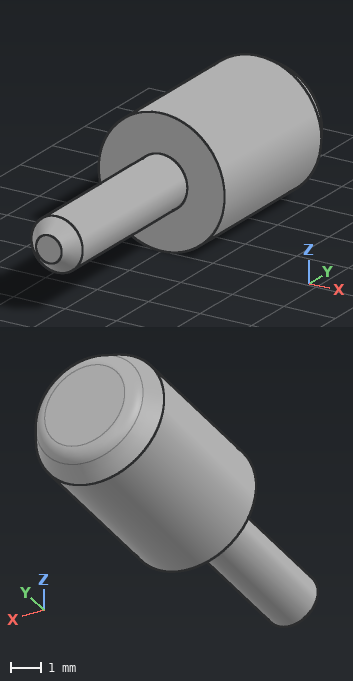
import cadquery as cq
import math

total_length = 14.0
head_length = 7.0
head_radius = 4.9 / 2
pin_radius = 2.0 / 2

pin_chamfer = 0.5
taper_length = 1.0
taper_angle = math.radians(30)
nose_radius = 0.6

tip_y = -total_length / 2
nose_y = total_length / 2
shoulder_y = nose_y - head_length
taper_y = nose_y - taper_length

arc_center_y = nose_y - nose_radius
arc_start_y = arc_center_y + nose_radius * math.sin(taper_angle)
arc_start_radius = head_radius - (arc_start_y - taper_y) * math.tan(taper_angle)
flat_radius = arc_start_radius - nose_radius * math.cos(taper_angle)
arc_middle_angle = (taper_angle + math.pi / 2) / 2
arc_middle = (
    flat_radius + nose_radius * math.cos(arc_middle_angle),
    arc_center_y + nose_radius * math.sin(arc_middle_angle),
)

result = (
    cq.Workplane("XY")
    .moveTo(0, tip_y)
    .lineTo(pin_radius - pin_chamfer, tip_y)
    .lineTo(pin_radius, tip_y + pin_chamfer)
    .lineTo(pin_radius, shoulder_y)
    .lineTo(head_radius, shoulder_y)
    .lineTo(head_radius, taper_y)
    .lineTo(arc_start_radius, arc_start_y)
    .threePointArc(arc_middle, (flat_radius, nose_y))
    .lineTo(0, nose_y)
    .close()
    .revolve(360, (0, 0, 0), (0, 1, 0))
)